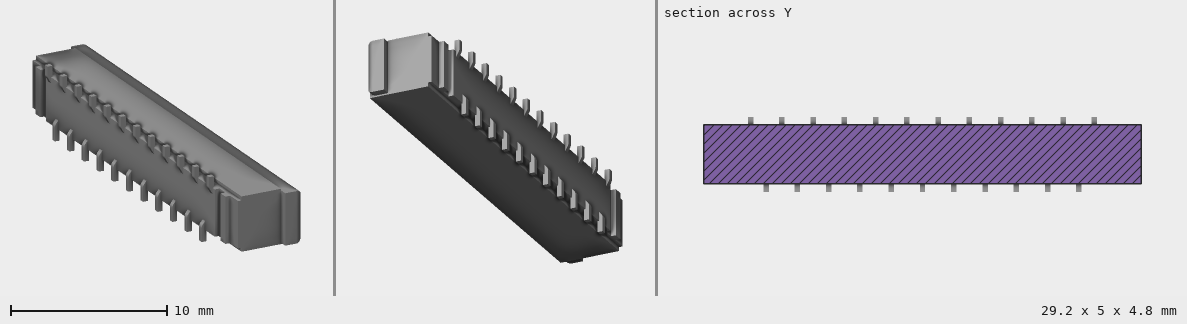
import cadquery as cq

body_length = 28.0
body_height = 3.8
body_front = -4.15

flange_length = 29.2
flange_height = 3.6
flange_depth = 1.3
flange_radius = 0.5

face_height = 3.25
face_front = -4.4
plate_front = -4.75
plate_length = 23.0
ridge_width = 0.65
ridge_center = 12.6

pin_width = 0.35
pin_thickness = 0.35
pin_pitch = 2.0
pin_front = -5.0
pin_back = pin_front + pin_thickness
pin_bend_radius = 0.35
pin_reach = 2.4
upper_pin_count = 12
lower_pin_count = 11
upper_slope_start = 1.65
upper_slope_end = 1.2
lower_slope_start = 1.3
lower_slope_end = 1.0


def block(length, height, y_front, y_back, x_center=0.0):
    """Box centred on Z = 0, spanning y_front to y_back."""
    depth = y_back - y_front
    y_center = (y_front + y_back) / 2
    return cq.Workplane("XY").box(length, depth, height).translate((x_center, y_center, 0))


def make_flange():
    """Flange whose rear edges are rounded all the way round."""
    flange = block(flange_length, flange_height, -flange_depth, 0)
    return flange.faces(">Y").edges().fillet(flange_radius)


def make_bottom_lip():
    """Underside strip carrying the body's bottom face back to the rear face."""
    lip = block(body_length, flange_radius, -flange_depth, 0)
    return lip.translate((0, 0, (flange_radius - body_height) / 2))


def make_front_face():
    """Reduced-height step with the central plate and a ridge near each end."""
    face = block(body_length, face_height, face_front, body_front)
    face = face.union(block(plate_length, face_height, plate_front, body_front))
    for x_center in (-ridge_center, ridge_center):
        face = face.union(block(ridge_width, face_height, plate_front, body_front, x_center))
    return face


def make_pin(x_center, side, slope_start, slope_end):
    """Terminal whose inner end bends back on a slope; side is 1 for upper, -1 for lower."""
    profile = [
        (pin_back, side * pin_reach),
        (pin_front, side * pin_reach),
        (pin_front, side * slope_start),
        (plate_front, side * slope_end),
        (pin_back, side * slope_end),
    ]
    pin = cq.Workplane("YZ").polyline(profile).close().extrude(pin_width / 2, both=True)
    bend_point = (0, pin_front, side * slope_start)
    pin = pin.edges(cq.selectors.NearestToPointSelector(bend_point)).fillet(pin_bend_radius)
    return pin.translate((x_center, 0, 0))


def add_pin_row(part, count, side, slope_start, slope_end):
    """Join a row of evenly pitched terminals, centred on X = 0, to the part."""
    for index in range(count):
        x_center = (index - (count - 1) / 2) * pin_pitch
        part = part.union(make_pin(x_center, side, slope_start, slope_end))
    return part


result = block(body_length, body_height, body_front, -flange_depth)
result = result.union(make_flange())
result = result.union(make_bottom_lip())
result = result.union(make_front_face())
result = add_pin_row(result, upper_pin_count, 1, upper_slope_start, upper_slope_end)
result = add_pin_row(result, lower_pin_count, -1, lower_slope_start, lower_slope_end)